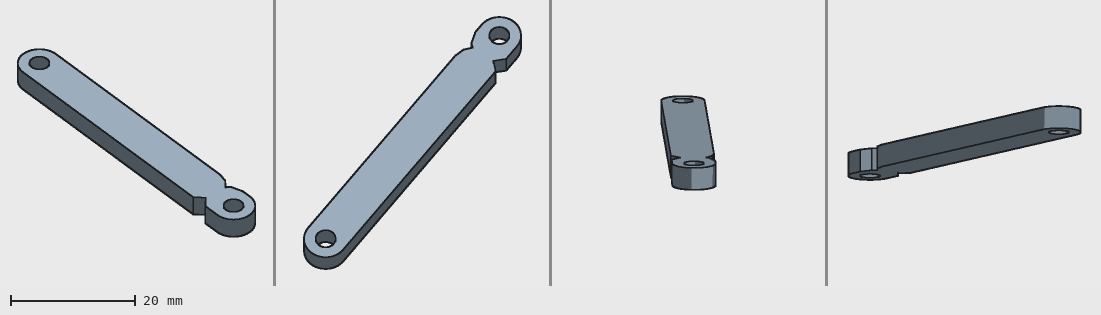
import cadquery as cq
import math

length_x = 52.35
width_y = 20.1
thickness = 3.6
end_diameter = 6.95
end_radius = end_diameter / 2
hole_diameter = 3.2

pivot_dx = length_x - 2 * end_radius
pivot_dy = width_y - 2 * end_radius
pivot_spacing = math.hypot(pivot_dx, pivot_dy)
tilt_angle = math.degrees(math.atan2(pivot_dy, pivot_dx))

upper_notch = [
    (45.5, end_radius),
    (43.45, 2.8),
    (42.95, 2.1),
    (41.7, 3.1),
    (40.0, end_radius),
]
lower_notch = [
    (41.45, -end_radius),
    (42.8, -2.05),
    (44.35, -end_radius),
]


def link_outline():
    """Bar with round ends along X, notched on both edges near the far end."""
    outline = cq.Workplane("XY").moveTo(0, -end_radius)
    for corner in lower_notch:
        outline = outline.lineTo(*corner)
    outline = outline.lineTo(pivot_spacing, -end_radius)
    outline = outline.threePointArc(
        (pivot_spacing + end_radius, 0), (pivot_spacing, end_radius)
    )
    for corner in upper_notch:
        outline = outline.lineTo(*corner)
    outline = outline.lineTo(0, end_radius)
    return outline.threePointArc((-end_radius, 0), (0, -end_radius)).close()


def pivot_holes():
    """Through holes at the centres of the two round ends."""
    centres = [(0, 0), (pivot_spacing, 0)]
    return cq.Workplane("XY").pushPoints(centres).circle(hole_diameter / 2).extrude(thickness)


link = link_outline().extrude(thickness).cut(pivot_holes())
result = link.rotate((0, 0, 0), (0, 0, 1), tilt_angle)